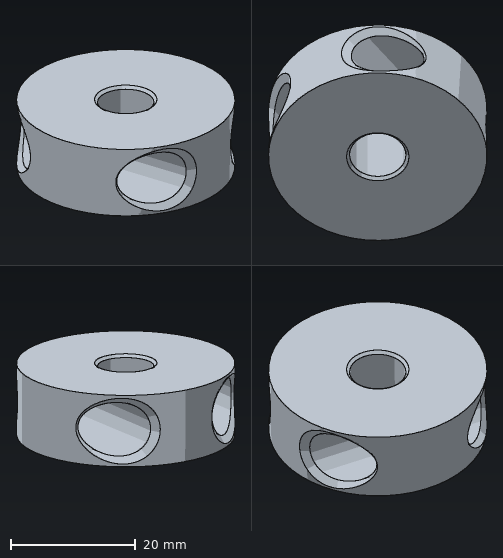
import cadquery as cq

disc_diameter = 35.0
disc_height = 12.0
hole_diameter = 9.0
cross_hole_offset = 10.5
chamfer_size = 0.5
cross_chamfer_size = 1.0


def make_disc():
    """Plain disc centred on the origin with its axis along Z."""
    return cq.Workplane("XY").circle(disc_diameter / 2).extrude(disc_height / 2, both=True)


def drill_centre_hole(body):
    """Axial through hole, chamfered at both flat faces."""
    drilled = body.faces(">Z").workplane().hole(hole_diameter)
    rims = drilled.edges(cq.selectors.RadiusNthSelector(0))
    return rims.chamfer(chamfer_size)


def drill_cross_hole(body, offset):
    """Through hole along X at the given Y offset."""
    drill = (
        cq.Workplane("YZ")
        .center(offset, 0)
        .circle(hole_diameter / 2)
        .extrude(disc_diameter / 2, both=True)
    )
    return body.cut(drill)


def chamfer_cross_holes(body):
    """Bevel the curved mouths where the cross holes break through the rim."""
    mouths = body.edges("%BSPLINE")
    return mouths.chamfer(cross_chamfer_size)


result = drill_centre_hole(make_disc())
for side in (-1, 1):
    result = drill_cross_hole(result, side * cross_hole_offset)
result = chamfer_cross_holes(result)